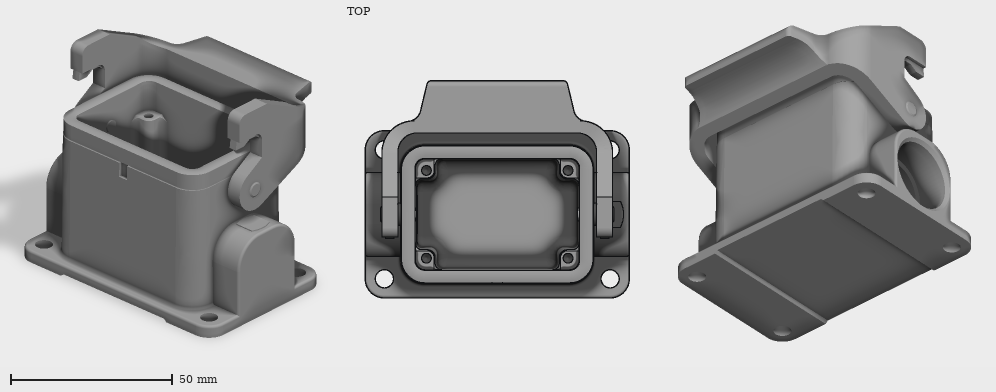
import cadquery as cq
import math

plate_length = 82.0
plate_width = 52.0
plate_height = 4.0
plate_corner_radius = 6.0
screw_hole_diameter = 5.6
edge_radius = 0.8
foot_recess_width = 43.0
foot_recess_depth = 0.9

body_length = 60.4
body_width = 43.8
body_corner_radius = 7.8
body_taper = 0.5
body_top = 45.6
body_foot_radius = 0.8

seam_height = 0.25
seam_length = 58.2
seam_width = 41.3
rim_length = 59.4
rim_width = 42.5
rim_corner_radius = 7.2
rim_edge_top = 51.0
rim_crown = 0.3

cavity_length = 51.2
cavity_width = 34.8
cavity_corner_radius = 3.2
cavity_taper = 1.0
floor_height = 3.3
floor_radius = 3.0
column_top = 40.8
column_x = 19.3
column_y = 11.0
column_corner_radius = 2.5
column_taper = 1.7
column_root_radius = 2.0
column_rim_chamfer = 0.3
screw_x = 22.0
screw_y = 13.6
screw_diameter = 3.0
screw_depth = 9.8

boss_width = 26.1
boss_top = 29.1
boss_corner_radius = 9.9
port_height = 14.7
port_diameter = 22.5
port_hole_diameter = 18.5
port_chamfer = 1.1
port_depth = 11.5
pad_x = 35.0
pad_length = 8.4
pad_width = 8.0
pad_end_bulge = 1.0
pad_height = 0.3

notch_width = 3.4
notch_height = 4.9
notch_depth = 1.0

pivot_height = 41.4
collar_diameter = 7.0
pin_diameter = 4.0
pin_head_diameter = 5.1
pin_head_height = 0.3
lever_half_length = 35.8
arm_thickness = 5.0
lever_back = 29.0
lever_back_thickness = 3.8
lever_outer_radius = 10.0
lever_inner_radius = 6.0
knuckle_radius = 7.0
lever_top = 69.5
lever_bottom_angle = 25.0
hook_front = 7.05
hook_corner_radius = 2.8
hook_bottom = 60.6
throat_depth = 3.2
throat_radius = 2.9
throat_bottom = 51.5
slope_start = 5.4
arm_top_at_bend = 63.0
bend_steps = 6
bend_cut_half_width = 8.2

handle_top = 58.6
handle_tip_bottom = 54.3
handle_tip = 41.5
handle_tip_half_width = 21.6
handle_side_angle = 13.5
handle_side_blend = 4.0
handle_corner_radius = 1.5
handle_tip_slope = 2.0
handle_tip_edge = 56.25
handle_grip_radius = 9.4
handle_grip_start = 38.1

tab_thickness = 2.6
tab_bottom = 57.65
tab_throat_top = 59.2
tab_tip = 7.5

body_half_length = body_length / 2
lever_inner = lever_half_length - arm_thickness
bend_start = lever_back - lever_outer_radius
bend_x = lever_half_length - lever_outer_radius
mount_x = plate_length / 2 - plate_corner_radius
mount_y = plate_width / 2 - plate_corner_radius
corner_signs = [(x_sign, y_sign) for x_sign in (-1, 1) for y_sign in (-1, 1)]
port_step = plate_length / 2 - port_depth
cavity_mouth = rim_edge_top + rim_crown


def rounded_block(length, width, radius, bottom, top, taper=0.0):
    """Upright block with rounded corners, centred on the Z axis."""
    outline = cq.Sketch().rect(length, width).vertices().fillet(radius)
    return cq.Workplane("XY", origin=(0, 0, bottom)).placeSketch(outline).extrude(top - bottom, taper=taper)


def axial_cylinder(diameter, start, end, height):
    """Cylinder along X from start to end."""
    return cq.Workplane("YZ", origin=(start, 0, height)).circle(diameter / 2).extrude(end - start)


def make_plate():
    plate = rounded_block(plate_length, plate_width, plate_corner_radius, 0, plate_height)
    return plate.faces(">Z").edges().fillet(edge_radius)


def make_boss(side):
    """Cable boss at the +X (side = 1) or -X (side = -1) end."""
    boss = (
        cq.Workplane("YZ")
        .center(0, boss_top / 2)
        .rect(boss_width, boss_top)
        .extrude(side * plate_length / 2)
        .edges("|X and >Z")
        .fillet(boss_corner_radius)
    )
    outer_face = ">X" if side > 0 else "<X"
    return boss.faces(outer_face).edges("not <Z").fillet(edge_radius)


def make_boss_pad():
    """Low raised pad with bowed ends on top of the +X boss."""
    half = pad_length / 2
    shoulder = half - pad_end_bulge
    return (
        cq.Workplane("XY", origin=(pad_x, 0, boss_top - edge_radius))
        .moveTo(-shoulder, -pad_width / 2)
        .lineTo(shoulder, -pad_width / 2)
        .threePointArc((half, 0), (shoulder, pad_width / 2))
        .lineTo(-shoulder, pad_width / 2)
        .threePointArc((-half, 0), (-shoulder, -pad_width / 2))
        .close()
        .extrude(edge_radius + pad_height)
    )


def rounded_path(half_x, half_y, radius, height):
    """Closed rounded rectangle at the given height, starting at the middle of the +X side."""
    diagonal = radius * (1 - math.sqrt(0.5))
    return (
        cq.Workplane("XY", origin=(0, 0, height))
        .moveTo(half_x, 0)
        .lineTo(half_x, half_y - radius)
        .threePointArc((half_x - diagonal, half_y - diagonal), (half_x - radius, half_y))
        .lineTo(radius - half_x, half_y)
        .threePointArc((diagonal - half_x, half_y - diagonal), (-half_x, half_y - radius))
        .lineTo(-half_x, radius - half_y)
        .threePointArc((diagonal - half_x, diagonal - half_y), (radius - half_x, -half_y))
        .lineTo(half_x - radius, -half_y)
        .threePointArc((half_x - diagonal, diagonal - half_y), (half_x, radius - half_y))
        .close()
    )


def make_rim():
    """Sealing rim: a seam groove below and a slightly domed ring above."""
    ring_bottom = body_top + seam_height
    seam = rounded_block(seam_length, seam_width, rim_corner_radius, body_top, ring_bottom)
    ring = rounded_block(rim_length, rim_width, rim_corner_radius, ring_bottom, rim_edge_top)
    wall = (rim_length - cavity_length) / 2
    half_x = rim_length / 2
    crown_path = rounded_path(half_x, rim_width / 2, rim_corner_radius, rim_edge_top)
    crown = (
        cq.Workplane("XZ")
        .moveTo(half_x, rim_edge_top)
        .threePointArc((half_x - wall / 2, cavity_mouth), (half_x - wall, rim_edge_top))
        .close()
        .sweep(crown_path, transition="round")
    )
    return seam.union(ring).union(crown)


def make_column(x_sign, y_sign):
    """Screw column that fills one cavity corner and widens toward the floor."""
    spread = (column_top - floor_height) * math.tan(math.radians(column_taper))
    inner_x = column_x - spread
    inner_y = column_y - spread
    reach = body_half_length
    column = (
        cq.Workplane("XY", origin=(0, 0, floor_height))
        .center(x_sign * (inner_x + reach), y_sign * (inner_y + reach))
        .rect(2 * reach, 2 * reach)
        .extrude(column_top - floor_height, taper=column_taper)
    )
    inner_edge = cq.selectors.NearestToPointSelector((x_sign * inner_x, y_sign * inner_y, port_height))
    column = column.edges("not #Z").edges(inner_edge).fillet(column_corner_radius)
    return column.faces(">Z").edges().chamfer(column_rim_chamfer)


def round_column_roots(void, x, y, z):
    """Round the four upright edges where the columns leave a pair of cavity walls."""
    roots = []
    for x_sign, y_sign in corner_signs:
        near_root = cq.selectors.NearestToPointSelector((x_sign * x, y_sign * y, z))
        roots.append(void.edges(near_root).val())
    return void.newObject(roots).fillet(column_root_radius)


def make_cavity():
    """Void of the housing: tapered pocket without the columns, rounded at the floor."""
    void = rounded_block(
        cavity_length, cavity_width, cavity_corner_radius, -cavity_mouth, -floor_height, taper=cavity_taper
    ).rotate((0, 0, 0), (1, 0, 0), 180)
    for x_sign, y_sign in corner_signs:
        void = void.cut(make_column(x_sign, y_sign))
    middle = (column_top + floor_height) / 2
    draft = math.tan(math.radians(cavity_taper)) * (cavity_mouth - middle)
    lean = math.tan(math.radians(column_taper)) * (column_top - middle)
    long_wall_roots = (column_x - lean, cavity_width / 2 - draft)
    end_wall_roots = (cavity_length / 2 - draft, column_y - lean)
    void = round_column_roots(void, *long_wall_roots, middle)
    void = void.faces("<Z").edges("not (>X or <X)").fillet(floor_radius)
    return round_column_roots(void, *end_wall_roots, middle)


def make_foot_recess():
    """Shallow recess with sloping ends across the underside of the plate."""
    half = foot_recess_width / 2
    return (
        cq.Workplane("XZ")
        .moveTo(-half - foot_recess_depth, 0)
        .lineTo(half + foot_recess_depth, 0)
        .lineTo(half, foot_recess_depth)
        .lineTo(-half, foot_recess_depth)
        .close()
        .extrude(plate_width / 2, both=True)
    )


def cut_screw_holes(housing):
    """Blind holes with conical ends in the columns and through holes in the plate."""
    radius = screw_diameter / 2
    bottom = column_top - screw_depth
    for x_sign, y_sign in corner_signs:
        x = x_sign * screw_x
        y = y_sign * screw_y
        screw = cq.Solid.makeCylinder(radius, screw_depth, cq.Vector(x, y, bottom))
        tip = cq.Solid.makeCone(0, radius, radius, cq.Vector(x, y, bottom - radius))
        mount_place = cq.Vector(x_sign * mount_x, y_sign * mount_y, 0)
        mount = cq.Solid.makeCylinder(screw_hole_diameter / 2, plate_height, mount_place)
        for hole in (screw, tip, mount):
            housing = housing.cut(cq.Workplane(hole))
    return housing


def cut_port(housing):
    """Stepped, chamfered cable port through the -X boss into the cavity."""
    outer = -plate_length / 2
    housing = housing.cut(axial_cylinder(port_diameter, outer, -port_step, port_height))
    housing = housing.cut(axial_cylinder(port_hole_diameter, outer, -cavity_length / 2 + 1.6, port_height))
    mouth = cq.Solid.makeCone(
        port_diameter / 2 + port_chamfer,
        port_diameter / 2,
        port_chamfer,
        cq.Vector(outer, 0, port_height),
        cq.Vector(1, 0, 0),
    )
    return housing.cut(cq.Workplane(mouth))


def make_housing():
    housing = rounded_block(body_length, body_width, body_corner_radius, 0, body_top, taper=body_taper)
    housing = housing.union(make_plate())
    for side in (-1, 1):
        housing = housing.union(make_boss(side))
    foot = cq.selectors.BoxSelector(
        (-body_half_length - 0.8, -body_width / 2 - 0.8, plate_height - 0.1),
        (body_half_length + 0.8, body_width / 2 + 0.8, plate_height + 0.1),
    )
    housing = housing.edges(foot).fillet(body_foot_radius)
    housing = housing.union(make_boss_pad()).union(make_rim())
    for side in (-1, 1):
        collar_start = side * (cavity_length / 2 + 0.8)
        housing = housing.union(axial_cylinder(collar_diameter, collar_start, side * lever_inner, pivot_height))
    housing = housing.cut(make_cavity())
    housing = cut_screw_holes(housing)
    housing = cut_port(housing)
    notch = cq.Workplane("XY").box(notch_width, 2 * notch_depth, notch_height, centered=(True, True, False))
    housing = housing.cut(notch.translate((0, -rim_width / 2 - 0.2, body_top - notch_height)))
    housing = housing.cut(make_foot_recess())
    for side in (-1, 1):
        pin_hole = axial_cylinder(pin_diameter, side * column_x, side * lever_half_length, pivot_height)
        housing = housing.cut(pin_hole)
    return housing


def bow_block(half_length, back, radius):
    """Full-height block with its two rear corners rounded."""
    front = -2 * knuckle_radius
    return (
        cq.Workplane("XY")
        .moveTo(-half_length, front)
        .lineTo(half_length, front)
        .lineTo(half_length, back)
        .lineTo(-half_length, back)
        .close()
        .extrude(lever_top)
        .edges("|Z and >Y")
        .fillet(radius)
    )


def make_bow():
    """U-shaped plan of the lever, full height."""
    outer = bow_block(lever_half_length, lever_back, lever_outer_radius)
    inner = bow_block(lever_inner, lever_back - lever_back_thickness, lever_inner_radius)
    return outer.cut(inner)


def make_side_profile():
    """Side shape of the arms, as a slab across the whole lever."""
    angle = math.radians(lever_bottom_angle)
    rear = lever_back + 0.8
    low_y = knuckle_radius * math.sin(angle)
    low_z = pivot_height - knuckle_radius * math.cos(angle)
    rear_z = low_z + (rear - low_y) * math.tan(angle)
    throat_rise = throat_bottom - pivot_height
    throat_distance = math.hypot(throat_depth, throat_rise)
    tangent_angle = math.atan2(throat_rise, throat_depth) + math.acos(knuckle_radius / throat_distance)
    high_y = knuckle_radius * math.cos(tangent_angle)
    high_z = pivot_height + knuckle_radius * math.sin(tangent_angle)
    throat_diagonal = throat_radius * (1 - math.sqrt(0.5))
    hook_diagonal = hook_corner_radius * (1 - math.sqrt(0.5))
    return (
        cq.Workplane("YZ")
        .moveTo(rear, rear_z)
        .lineTo(low_y, low_z)
        .threePointArc((-knuckle_radius, pivot_height), (high_y, high_z))
        .lineTo(throat_depth, throat_bottom)
        .lineTo(throat_depth, hook_bottom - throat_radius)
        .threePointArc(
            (throat_depth - throat_diagonal, hook_bottom - throat_diagonal),
            (throat_depth - throat_radius, hook_bottom),
        )
        .lineTo(-hook_front, hook_bottom)
        .lineTo(-hook_front, lever_top - hook_corner_radius)
        .threePointArc(
            (hook_diagonal - hook_front, lever_top - hook_diagonal),
            (hook_corner_radius - hook_front, lever_top),
        )
        .lineTo(slope_start, lever_top)
        .lineTo(bend_start, arm_top_at_bend)
        .lineTo(rear, arm_top_at_bend)
        .close()
        .extrude(lever_half_length, both=True)
    )


def make_bend_cutter(side):
    """Space above one bend; its floor falls from the arm's top to the handle's top."""
    drop = arm_top_at_bend - handle_top
    sections = []
    for step in range(bend_steps + 1):
        angle = math.pi / 2 * step / bend_steps
        plane = cq.Plane(
            origin=(side * bend_x, bend_start, arm_top_at_bend - drop * math.sin(angle)),
            xDir=(side * math.cos(angle), math.sin(angle), 0),
            normal=(math.sin(angle), -side * math.cos(angle), 0),
        )
        section = cq.Workplane(plane).center(lever_outer_radius, 0).rect(2 * bend_cut_half_width, 4 * drop)
        sections.append(section.translate((0, 0, 2 * drop)).val())
    return cq.Workplane(cq.Solid.makeLoft(sections))


def make_handle():
    """Finger handle: flared plan cut to the grip's side shape."""
    angle = math.radians(handle_side_angle)
    along = (math.sin(angle), -math.cos(angle))
    offset_x = handle_tip_half_width + handle_side_blend * math.cos(angle) - bend_x
    offset_y = handle_tip + handle_side_blend * math.sin(angle) - bend_start
    half_b = offset_x * along[0] + offset_y * along[1]
    reach = lever_outer_radius + handle_side_blend
    distance = -half_b - math.sqrt(half_b**2 - offset_x**2 - offset_y**2 + reach**2)
    side_end = (handle_tip_half_width + distance * along[0], handle_tip + distance * along[1])
    centre = (bend_x + offset_x + distance * along[0], bend_start + offset_y + distance * along[1])
    share = lever_outer_radius / reach
    bend_end = (bend_x + (centre[0] - bend_x) * share, bend_start + (centre[1] - bend_start) * share)
    middle_x = (side_end[0] + bend_end[0]) / 2 - centre[0]
    middle_y = (side_end[1] + bend_end[1]) / 2 - centre[1]
    pull = handle_side_blend / math.hypot(middle_x, middle_y)
    middle = (centre[0] + middle_x * pull, centre[1] + middle_y * pull)
    root = lever_back - lever_back_thickness / 2
    plan = (
        cq.Workplane("XY", origin=(0, 0, pivot_height))
        .moveTo(-bend_end[0], root)
        .lineTo(bend_end[0], root)
        .lineTo(*bend_end)
        .threePointArc(middle, side_end)
        .lineTo(handle_tip_half_width, handle_tip)
        .lineTo(-handle_tip_half_width, handle_tip)
        .lineTo(-side_end[0], side_end[1])
        .threePointArc((-middle[0], middle[1]), (-bend_end[0], bend_end[1]))
        .close()
        .extrude(handle_top - pivot_height)
        .edges("|Z and >Y")
        .fillet(handle_corner_radius)
    )
    grip_centre = handle_tip_bottom - handle_grip_radius
    grip_end_z = grip_centre + math.sqrt(handle_grip_radius**2 - (handle_grip_start - lever_back) ** 2)
    grip_diagonal = handle_grip_radius / math.sqrt(2)
    tip_inset = 0.3 * handle_tip_slope
    side = (
        cq.Workplane("YZ")
        .moveTo(root, handle_top)
        .lineTo(handle_tip - handle_tip_slope, handle_top)
        .threePointArc((handle_tip - tip_inset, handle_top - tip_inset), (handle_tip, handle_tip_edge))
        .lineTo(handle_tip, handle_tip_bottom)
        .lineTo(handle_grip_start, handle_tip_bottom)
        .threePointArc(
            (handle_grip_start - grip_diagonal, grip_centre + grip_diagonal), (lever_back, grip_end_z)
        )
        .lineTo(root, grip_end_z)
        .close()
        .extrude(lever_half_length, both=True)
    )
    return plan.intersect(side)


def make_snap_tab(side):
    """Thin tab that lines the throat and the underside of one hook."""
    hidden = hook_bottom + 1.6
    middle = side * (lever_half_length - arm_thickness / 2)
    return (
        cq.Workplane("YZ", origin=(middle, 0, 0))
        .moveTo(throat_depth, hook_bottom - throat_radius)
        .threePointArc((throat_depth - 0.8, tab_throat_top - 0.5), (throat_depth - 2.5, tab_throat_top))
        .lineTo(throat_depth - 4.35, tab_throat_top)
        .lineTo(throat_depth - 7.0, tab_bottom)
        .lineTo(-tab_tip, tab_bottom)
        .lineTo(-hook_front, hook_bottom)
        .lineTo(-hook_front, hidden)
        .lineTo(throat_depth, hidden)
        .close()
        .extrude(tab_thickness / 2, both=True)
    )


def make_pin(side):
    """Hinge pin through the housing wall, with a low conical head outside the arm."""
    pin_start = side * (cavity_length / 2 - 0.65)
    pin = axial_cylinder(pin_diameter, pin_start, side * lever_half_length, pivot_height)
    head = cq.Solid.makeCone(
        pin_head_diameter / 2,
        pin_diameter / 2,
        pin_head_height,
        cq.Vector(side * lever_half_length, 0, pivot_height),
        cq.Vector(side, 0, 0),
    )
    return pin.union(cq.Workplane(head))


def make_lever():
    lever = make_bow().intersect(make_side_profile())
    back_room = cq.Workplane("XY").box(2 * bend_x, lever_back, lever_top, centered=(True, False, False))
    lever = lever.cut(back_room.translate((0, bend_start, handle_top)))
    for side in (-1, 1):
        lever = lever.cut(make_bend_cutter(side))
    lever = lever.union(make_handle())
    for side in (-1, 1):
        lever = lever.union(make_snap_tab(side)).union(make_pin(side))
    return lever


housing = make_housing()
lever = make_lever()
result = cq.Compound.makeCompound([housing.val(), lever.val()])